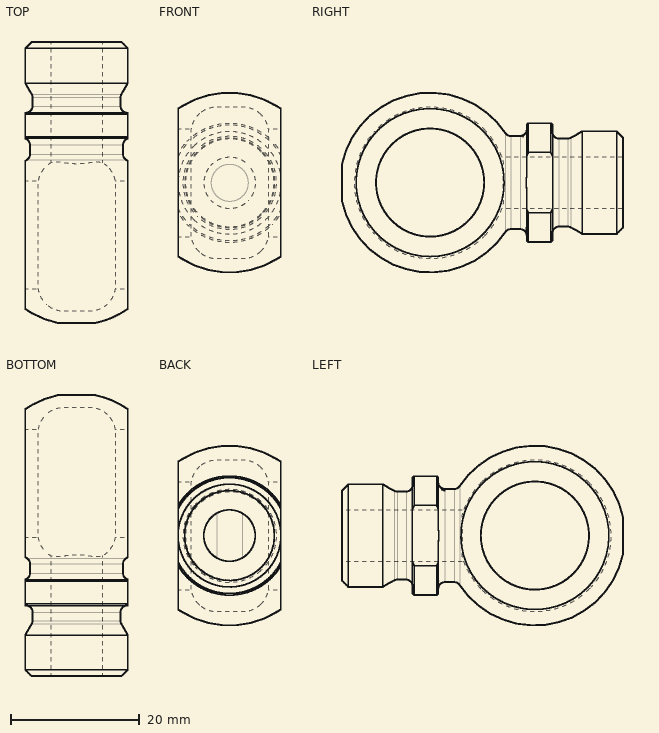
import cadquery as cq
import math

total_length = 43.7
ball_radius = 28.0 / 2
width = 16.0
nose_flat_radius = 2.9
nose_y = -math.sqrt(ball_radius**2 - nose_flat_radius**2)
end_y = nose_y + total_length

bore_radius = 16.8 / 2
groove_radius = 11.8
groove_floor_width = 4.0
groove_shoulder_radius = 4.0

shank_radius = width / 2
end_chamfer = 1.0
shank_length = 6.4
relief_radius = 13.7 / 2
relief_cone_angle = math.radians(30)
neck_radius = 14.5 / 2
blend_radius = 1.0
passage_radius = 8.0 / 2

collar_radius = 18.55 / 2
collar_start = 10.95
collar_length = 4.0
collar_chamfer = 0.25


def circle_point(center, radius, angle):
    """Point on a circle, at an angle in degrees."""
    turn = math.radians(angle)
    return (center[0] + radius * math.cos(turn), center[1] + radius * math.sin(turn))


def turned_body():
    """Ball, neck, collar and shank as one solid of revolution about Y."""
    ball_blend_r = neck_radius + blend_radius
    ball_blend_y = math.sqrt((ball_radius + blend_radius)**2 - ball_blend_r**2)
    ball_blend = (ball_blend_r, ball_blend_y)
    contact_angle = math.degrees(math.atan2(ball_blend_y, ball_blend_r))
    ball_contact = circle_point((0, 0), ball_radius, contact_angle)
    ball_blend_middle = circle_point(ball_blend, blend_radius, 180 + contact_angle / 2)

    collar_back_y = end_y - collar_start
    collar_front_y = collar_back_y - collar_length
    neck_blend = (neck_radius + blend_radius, collar_front_y - blend_radius)
    relief_blend = (relief_radius + blend_radius, collar_back_y + blend_radius)

    shank_y = end_y - shank_length
    cone_foot_y = shank_y - (shank_radius - relief_radius) / math.tan(relief_cone_angle)
    tangent_length = blend_radius * math.tan(relief_cone_angle / 2)
    cone_blend = (relief_radius + blend_radius, cone_foot_y - tangent_length)
    cone_angle = math.degrees(relief_cone_angle)

    profile = (
        cq.Workplane("XY")
        .moveTo(0, nose_y)
        .lineTo(nose_flat_radius, nose_y)
        .threePointArc((ball_radius, 0), ball_contact)
        .threePointArc(ball_blend_middle, (neck_radius, ball_blend_y))
        .lineTo(neck_radius, neck_blend[1])
        .threePointArc(circle_point(neck_blend, blend_radius, 135), (neck_blend[0], collar_front_y))
        .lineTo(collar_radius - collar_chamfer, collar_front_y)
        .lineTo(collar_radius, collar_front_y + collar_chamfer)
        .lineTo(collar_radius, collar_back_y - collar_chamfer)
        .lineTo(collar_radius - collar_chamfer, collar_back_y)
        .lineTo(relief_blend[0], collar_back_y)
        .threePointArc(circle_point(relief_blend, blend_radius, 225), (relief_radius, relief_blend[1]))
        .lineTo(relief_radius, cone_blend[1])
        .threePointArc(
            circle_point(cone_blend, blend_radius, 180 - cone_angle / 2),
            circle_point(cone_blend, blend_radius, 180 - cone_angle),
        )
        .lineTo(shank_radius, shank_y)
        .lineTo(shank_radius, end_y - end_chamfer)
        .lineTo(shank_radius - end_chamfer, end_y)
        .lineTo(0, end_y)
        .close()
    )
    return profile.revolve(360, (0, 0, 0), (0, 1, 0))


def side_trim():
    """Slab whose faces cut the ball and the collar to the overall width."""
    return cq.Workplane("XY").box(width, 3 * total_length, total_length)


def grooved_bore():
    """Through bore with its inner groove, revolved about X."""
    floor_x = groove_floor_width / 2
    shoulder_center_r = groove_radius - groove_shoulder_radius
    bore_height = bore_radius - shoulder_center_r
    mouth_angle = math.degrees(math.asin(bore_height / groove_shoulder_radius))

    shoulder_center = (floor_x, shoulder_center_r)
    mouth_x, _ = circle_point(shoulder_center, groove_shoulder_radius, mouth_angle)
    middle_x, middle_r = circle_point(shoulder_center, groove_shoulder_radius, (90 + mouth_angle) / 2)

    profile = (
        cq.Workplane("XY")
        .moveTo(-width, 0)
        .lineTo(-width, bore_radius)
        .lineTo(-mouth_x, bore_radius)
        .threePointArc((-middle_x, middle_r), (-floor_x, groove_radius))
        .lineTo(floor_x, groove_radius)
        .threePointArc((middle_x, middle_r), (mouth_x, bore_radius))
        .lineTo(width, bore_radius)
        .lineTo(width, 0)
        .close()
    )
    return profile.revolve(360, (0, 0, 0), (1, 0, 0))


def passage():
    """Hole along the shank, from the cross bore out through the free end."""
    return cq.Workplane("XZ").circle(passage_radius).extrude(-end_y)


result = turned_body().intersect(side_trim()).cut(grooved_bore()).cut(passage())